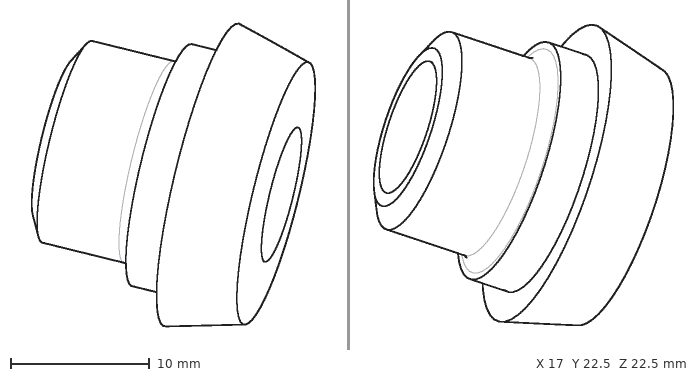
import cadquery as cq
import math

total_length = 17.0
bore_radius = 10.0 / 2
shank_radius = 15.0 / 2
collar_radius = 18 / 2
head_radius = 22.5 / 2

chamfer_angle = 60
chamfer_height = 1.5
chamfer_length = chamfer_height / math.tan(math.radians(chamfer_angle))

collar_start = 8.0
fillet_radius = 1.0
fillet_start = collar_start - fillet_radius
fillet_top = shank_radius + fillet_radius
fillet_mid_offset = fillet_radius * math.sin(math.radians(45))

head_start = 11.0
head_taper_angle = 15
head_cone_end = 16.6
head_end_radius = head_radius - (head_cone_end - head_start) * math.tan(math.radians(head_taper_angle))

section = (
    cq.Workplane("XY")
    .moveTo(0, bore_radius)
    .lineTo(0, shank_radius - chamfer_height)
    .lineTo(chamfer_length, shank_radius)
    .lineTo(fillet_start, shank_radius)
    .threePointArc(
        (fillet_start + fillet_mid_offset, fillet_top - fillet_mid_offset),
        (collar_start, fillet_top),
    )
    .lineTo(collar_start, collar_radius)
    .lineTo(head_start, collar_radius)
    .lineTo(head_start, head_radius)
    .lineTo(head_cone_end, head_end_radius)
    .lineTo(total_length, bore_radius)
    .close()
)

result = section.revolve(360, (0, 0, 0), (1, 0, 0))